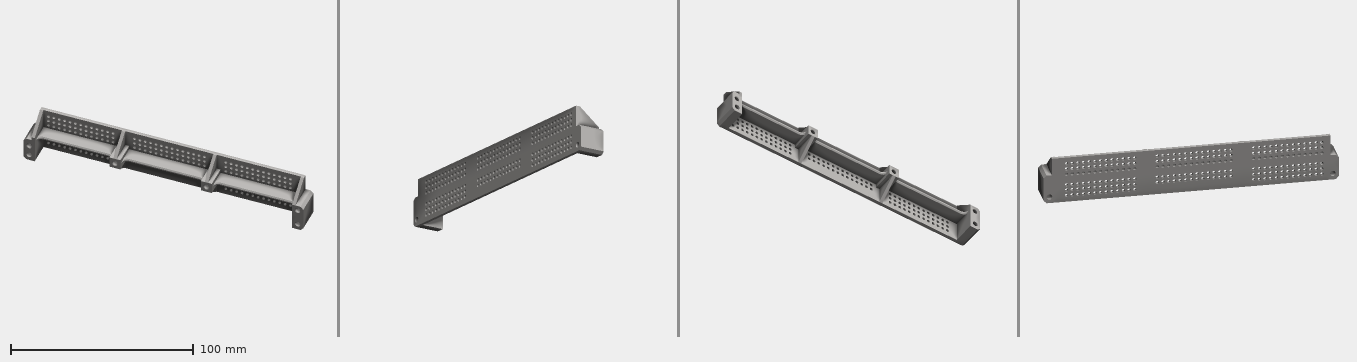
import cadquery as cq
import math

length = 165.2
depth = 15.0
height = 26.6

ear_width = 6.6
ear_chamfer = 1.7
left_ear_height = 14.7
right_ear_height = 16.7
ear_hole_inset = ear_width / 2
ear_through_diameter = 3.1
ear_through_z = 3.6
left_pilot_z = 10.0

wall_thickness = 2.0
rib_thickness = 2.0
rib_flat = 2.5
rib_front_height = right_ear_height
end_inset = ear_width - rib_thickness

boss_width = 6.5
boss_height = 6.6
boss_top = right_ear_height
boss_bottom = boss_top - boss_height
boss_z = boss_top - boss_height / 2
boss_pitch = (length - ear_hole_inset) / 3
boss_centers = [boss_pitch, 2 * boss_pitch]

pilot_diameter = 2.8
pilot_mouth_diameter = 3.5
pilot_depth = 9.9
drill_point_angle = 118

shelf_depth = 10.4
shelf_top = 14.4
shelf_thickness = 2.0
shelf_chamfer = 0.7
bevel_angle = 45
shelf_corner_radius = 3.0

hole_diameter = 1.8
outer_columns = 13
middle_columns = 14
outer_rows = (0, 1, 2, 4, 5, 6)
middle_rows = (1, 2, 4, 5, 6)
grid_span = 38.2
hole_pitch = grid_span / (outer_columns - 1)
lowest_row_z = 3.8
grid_spacing = 52.4
grid_mid_x = 81.0


def box(x_min, x_max, y_min, y_max, z_min, z_max):
    size = (x_max - x_min, y_max - y_min, z_max - z_min)
    return cq.Workplane("XY").box(*size, centered=False).translate((x_min, y_min, z_min))


def rib(x_center, points):
    """Upright plate with a side outline given as (y, z) points."""
    plate = cq.Workplane("YZ").polyline(points).close().extrude(rib_thickness / 2, both=True)
    return plate.translate((x_center, 0, 0))


def end_rib(x_center):
    outline = [
        (0, 0),
        (-depth, 0),
        (-depth, rib_front_height),
        (-rib_flat, height),
        (0, height),
    ]
    return rib(x_center, outline)


def boss_rib(x_center):
    """Rib with a sloping underside that carries a square boss."""
    outline = [
        (0, 0),
        (-wall_thickness, 0),
        (-depth, boss_bottom),
        (-depth, rib_front_height),
        (-rib_flat, height),
        (0, height),
    ]
    half = boss_width / 2
    boss = box(x_center - half, x_center + half, -depth, 0, boss_bottom, boss_top)
    return rib(x_center, outline).union(boss)


def ear(x_min, ear_height, outer_side):
    block = box(x_min, x_min + ear_width, -depth, 0, 0, ear_height)
    return block.faces(outer_side).edges("|Y").chamfer(ear_chamfer)


def notch_outline(x_min, x_max, z):
    """Open front of a bay, with rounded corners where the shelf edge meets the plates."""
    edge = -shelf_depth
    radius = shelf_corner_radius
    return (
        cq.Workplane("XY", origin=(0, 0, z))
        .moveTo(x_min, -2 * depth)
        .lineTo(x_min, edge - radius)
        .radiusArc((x_min + radius, edge), radius)
        .lineTo(x_max - radius, edge)
        .radiusArc((x_max, edge - radius), radius)
        .lineTo(x_max, -2 * depth)
        .close()
    )


def shelf(x_min, x_max):
    """Shelf with bevelled upper and lower front edges."""
    bottom = shelf_top - shelf_thickness
    plate = box(x_min, x_max, -depth, 0, bottom, shelf_top)
    notch = notch_outline(x_min, x_max, bottom).extrude(shelf_thickness)
    bevel_base = notch_outline(x_min, x_max, shelf_top - shelf_chamfer)
    top_bevel = bevel_base.extrude(shelf_chamfer, taper=-bevel_angle)
    bottom_bevel = top_bevel.mirror("XY", (0, 0, bottom + shelf_thickness / 2))
    return plate.cut(notch).cut(top_bevel).cut(bottom_bevel)


def pilot_hole(x, z):
    """Blind hole drilled into the front face, with a countersunk mouth and a pointed bottom."""
    radius = pilot_diameter / 2
    mouth_radius = pilot_mouth_diameter / 2
    countersink = mouth_radius - radius
    half_section = [
        (0, 0),
        (mouth_radius, 0),
        (radius, countersink),
        (radius, pilot_depth),
        (0, pilot_depth + radius / math.tan(math.radians(drill_point_angle / 2))),
    ]
    drill = cq.Workplane("XY").polyline(half_section).close().revolve(360, (0, 0), (0, 1))
    return drill.translate((x, -depth, z))


def through_hole(x):
    center = (x, 0, ear_through_z)
    return cq.Workplane("XZ", origin=center).circle(ear_through_diameter / 2).extrude(depth)


def perforation(x_center, columns, rows):
    """Rows are numbered upward from the lowest one; the shelf takes the place of row 3."""
    first_x = x_center - (columns - 1) * hole_pitch / 2
    points = [
        (first_x + column * hole_pitch, lowest_row_z + row * hole_pitch)
        for column in range(columns)
        for row in rows
    ]
    return cq.Workplane("XZ").pushPoints(points).circle(hole_diameter / 2).extrude(wall_thickness)


body = box(end_inset, length - end_inset, -wall_thickness, 0, 0, height)
body = body.union(end_rib(end_inset + rib_thickness / 2))
body = body.union(end_rib(length - end_inset - rib_thickness / 2))
body = body.union(ear(0, left_ear_height, "<X"))
body = body.union(ear(length - ear_width, right_ear_height, ">X"))
for center in boss_centers:
    body = body.union(boss_rib(center))

half_boss = boss_width / 2
bay_starts = [ear_width] + [center + half_boss for center in boss_centers]
bay_ends = [center - half_boss for center in boss_centers] + [length - ear_width]
for start, end in zip(bay_starts, bay_ends):
    body = body.union(shelf(start, end))

pilots = [(ear_hole_inset, left_pilot_z), (length - ear_hole_inset, boss_z)]
pilots += [(center, boss_z) for center in boss_centers]
for x, z in pilots:
    body = body.cut(pilot_hole(x, z))

for x in (ear_hole_inset, length - ear_hole_inset):
    body = body.cut(through_hole(x))

body = body.cut(perforation(grid_mid_x - grid_spacing, outer_columns, outer_rows))
body = body.cut(perforation(grid_mid_x, middle_columns, middle_rows))
body = body.cut(perforation(grid_mid_x + grid_spacing, outer_columns, outer_rows))

result = body